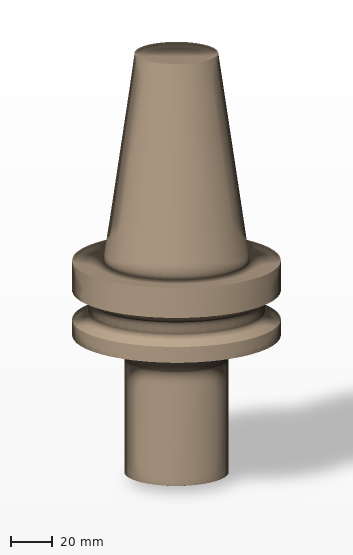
import cadquery as cq

total_height = 211.8

taper_top_diameter = 40.0
taper_base_diameter = 69.9
taper_length = 101.9
shank_neck_length = 1.0

flange_diameter = 100.0
groove_diameter = 85.0
flange_top_z = total_height - taper_length - shank_neck_length
upper_rim_height = 14.8
lower_rim_height = 7.8
groove_floor_height = 6.0
groove_flank_height = 4.2
groove_top_z = flange_top_z - upper_rim_height
groove_bottom_z = groove_top_z - groove_floor_height - 2 * groove_flank_height
flange_bottom_z = groove_bottom_z - lower_rim_height

nose_diameter = 50.0
nose_cone_top_diameter = 63.5
nose_cone_height = 11.5
tip_diameter = 23.3
tip_height = 3.8

profile = [
    (tip_diameter, 0),
    (nose_diameter, tip_height),
    (nose_diameter, flange_bottom_z - nose_cone_height),
    (nose_cone_top_diameter, flange_bottom_z),
    (flange_diameter, flange_bottom_z),
    (flange_diameter, groove_bottom_z),
    (groove_diameter, groove_bottom_z + groove_flank_height),
    (groove_diameter, groove_top_z - groove_flank_height),
    (flange_diameter, groove_top_z),
    (flange_diameter, flange_top_z),
    (taper_base_diameter, flange_top_z),
    (taper_base_diameter, total_height - taper_length),
    (taper_top_diameter, total_height),
]

outline = [(0, 0)] + [(diameter / 2, z) for diameter, z in profile] + [(0, total_height)]
result = cq.Workplane("XZ").polyline(outline).close().revolve(360, (0, 0, 0), (0, 1, 0))